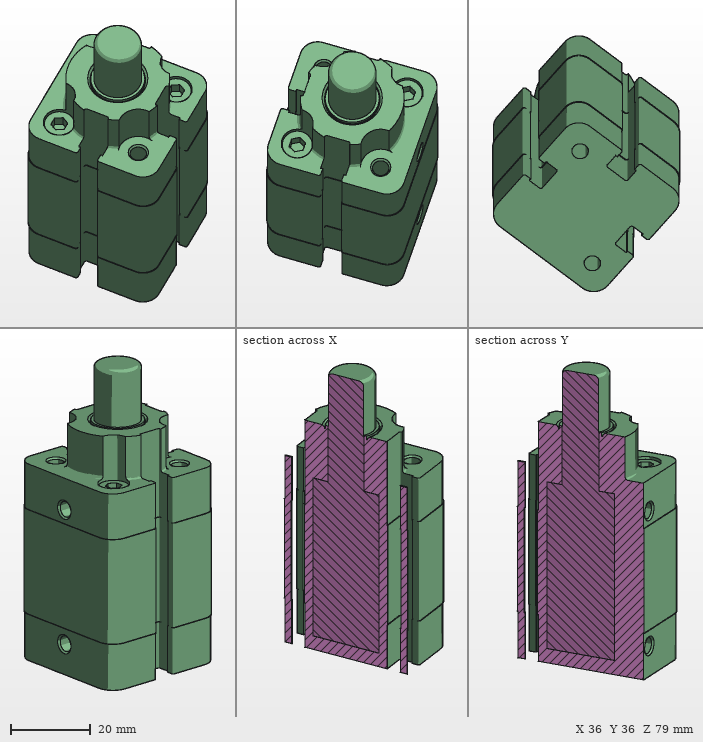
import cadquery as cq
import math

barrel_width = 36.0
corner_radius = 4.5
cap_inset = 0.15
base_cap_top = 12.4
barrel_top = 40.4
head_cap_top = 52.5
collar_top = 64.0
collar_radius = 13.0
collar_foot_radius = 0.8

slot_opening = 5.5
slot_width = 6.6
slot_depth = 5.9
slot_lip = 2.1
slot_fillet = 0.55

fastener_offset = 11.0
bolt_hole_diameter = 4.1
bolt_clearance_radius = 5.05
screw_recess_diameter = 8.0
screw_head_diameter = 7.5
screw_head_sink = 0.6
screw_gap_depth = 4.75
hex_flats = 3.6
hex_depth = 2.8

port_diameter = 4.1
port_heights = (8.1, 44.1)
countersink_depth = 0.5

rod_diameter = 12.0
rod_top = 79.0
rod_edge_radius = 1.2
piston_diameter = 20.0
piston_bottom = 3.95
piston_top = 48.2
groove_inner_radius = 6.8
groove_outer_radius = 6.95
groove_depth = 0.95
groove_chamfer = 0.59

cap_width = barrel_width - 2 * cap_inset
bolt_places = [(-fastener_offset, fastener_offset), (fastener_offset, -fastener_offset)]
screw_places = [(fastener_offset, fastener_offset), (-fastener_offset, -fastener_offset)]


def rounded_block(width, bottom, top):
    """Square block with rounded vertical corners, from height bottom to top."""
    block = cq.Workplane("XY").workplane(offset=bottom).rect(width, width).extrude(top - bottom)
    return block.edges("|Z").fillet(corner_radius)


def cylinders(places, diameter, bottom, top):
    """Vertical cylinders at the given places."""
    plane = cq.Workplane("XY").workplane(offset=bottom)
    return plane.pushPoints(places).circle(diameter / 2).extrude(top - bottom)


def collar():
    """Round collar that widens through a concave fillet at its foot."""
    foot_radius = collar_radius + collar_foot_radius
    bend = collar_foot_radius * (1 - math.sqrt(0.5))
    outline = (
        cq.Workplane("XZ")
        .moveTo(0, barrel_top)
        .lineTo(foot_radius, barrel_top)
        .lineTo(foot_radius, head_cap_top)
        .threePointArc(
            (collar_radius + bend, head_cap_top + bend),
            (collar_radius, head_cap_top + collar_foot_radius),
        )
        .lineTo(collar_radius, collar_top)
        .lineTo(0, collar_top)
        .close()
    )
    return outline.revolve(360, (0, 0, 0), (0, 1, 0))


def slot_cutter(face, bottom, top):
    """Undercut slot with rounded floor corners, sunk from a +X face at the given distance."""
    height = top - bottom
    base = cq.Workplane("XY").workplane(offset=bottom)
    channel_length = slot_depth - slot_lip
    channel_center = face - slot_lip - channel_length / 2
    channel = base.center(channel_center, 0).rect(channel_length, slot_width).extrude(height)
    channel = channel.edges("|Z and <X").fillet(slot_fillet)

    opening_side = slot_opening / 2
    bend = slot_fillet * (1 - math.sqrt(0.5))
    opening = (
        base.moveTo(face - slot_lip, opening_side)
        .lineTo(face - slot_fillet, opening_side)
        .threePointArc((face - bend, opening_side + bend), (face, opening_side + slot_fillet))
        .lineTo(face, 0)
        .lineTo(face - slot_lip, 0)
        .close()
        .extrude(height)
    )
    return channel.union(opening).union(opening.mirror("XZ"))


def cut_slots(body, width, bottom, top):
    """Slots on the -Y, +X and +Y sides of a block of the given width."""
    cutter = slot_cutter(width / 2, bottom, top)
    for angle in (-90, 0, 90):
        body = body.cut(cutter.rotate((0, 0, 0), (0, 0, 1), angle))
    return body


def countersink(diameter):
    """45 degree cone that opens a hole at the origin toward +Z."""
    radius = diameter / 2
    return cq.Solid.makeCone(radius, radius + countersink_depth, countersink_depth,
                             cq.Vector(0, 0, -countersink_depth))


def cut_bolt_holes(body):
    """Countersunk through holes, with clearance scallops in the collar above them."""
    body = body.cut(cylinders(bolt_places, 2 * bolt_clearance_radius, head_cap_top, collar_top))
    body = body.cut(cylinders(bolt_places, bolt_hole_diameter, 0, head_cap_top))
    for x, y in bolt_places:
        body = body.cut(countersink(bolt_hole_diameter).moved(cq.Location(cq.Vector(x, y, head_cap_top))))
    return body


def form_screw_heads(body):
    """Sunken screw heads, each in a recess that also scallops the collar."""
    head_top = head_cap_top - screw_head_sink
    gap_bottom = head_top - screw_gap_depth
    recesses = cylinders(screw_places, screw_recess_diameter, gap_bottom, collar_top)
    heads = cylinders(screw_places, screw_head_diameter, gap_bottom, head_top)
    sockets = (
        cq.Workplane("XY")
        .workplane(offset=head_top - hex_depth)
        .transformed(rotate=(0, 0, 90))
        .pushPoints([(y, -x) for x, y in screw_places])
        .polygon(6, hex_flats / math.cos(math.pi / 6))
        .extrude(hex_depth)
    )
    return body.cut(recesses).union(heads).cut(sockets)


def port_cutter(height):
    """Countersunk air port from the -X face to the piston bore."""
    face = -cap_width / 2
    drill = cq.Workplane("YZ").center(0, height).circle(port_diameter / 2).extrude(face)
    mouth = countersink(port_diameter).rotate(cq.Vector(0, 0, 0), cq.Vector(0, 1, 0), -90)
    return drill.union(cq.Workplane(mouth.moved(cq.Location(cq.Vector(face, 0, height)))))


def rod_groove():
    """Narrow ring groove with a chamfered outer edge, cut down from the collar's top."""
    floor = collar_top - groove_depth
    outline = [
        (groove_inner_radius, floor),
        (groove_inner_radius, collar_top),
        (groove_outer_radius + groove_chamfer, collar_top),
        (groove_outer_radius, collar_top - groove_chamfer),
        (groove_outer_radius, floor),
    ]
    return cq.Workplane("XZ").polyline(outline).close().revolve(360, (0, 0, 0), (0, 1, 0))


def make_rod():
    """Piston rod with a rounded tip, in one piece with its piston."""
    piston = cylinders([(0, 0)], piston_diameter, piston_bottom, piston_top)
    shaft = cylinders([(0, 0)], rod_diameter, piston_top, rod_top)
    return piston.union(shaft.faces(">Z").edges().fillet(rod_edge_radius))


def make_housing(inserted_rod):
    """Caps, barrel and collar as one solid, bored to fit the rod and piston."""
    base_cap = rounded_block(cap_width, 0, base_cap_top)
    base_cap = cut_slots(base_cap, cap_width, 0, base_cap_top)
    barrel = rounded_block(barrel_width, base_cap_top, barrel_top)
    barrel = cut_slots(barrel, barrel_width, base_cap_top, barrel_top)
    head_cap = rounded_block(cap_width, barrel_top, head_cap_top).union(collar())
    head_cap = cut_slots(head_cap, cap_width, barrel_top, collar_top)
    body = base_cap.union(barrel).union(head_cap)
    body = cut_bolt_holes(body)
    body = form_screw_heads(body)
    for height in port_heights:
        body = body.cut(port_cutter(height))
    body = body.cut(rod_groove())
    return body.cut(inserted_rod)


rod = make_rod()
housing = make_housing(rod)
result = cq.Compound.makeCompound([housing.solids().val(), rod.solids().val()])